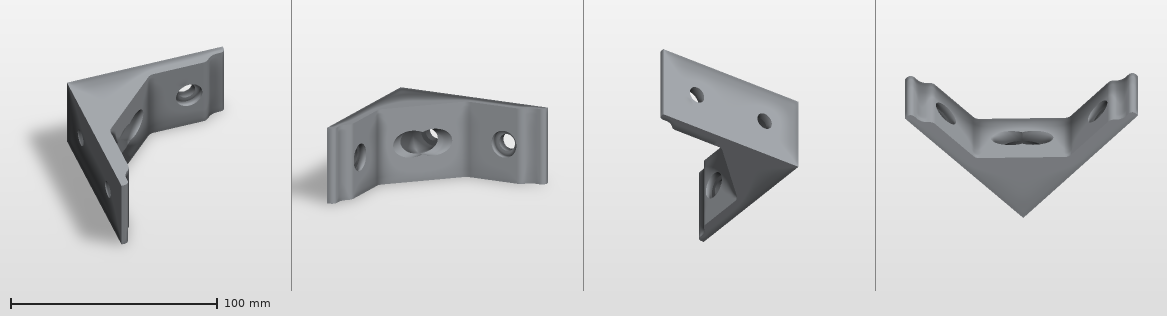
import cadquery as cq
import math

LEG_LENGTH = 80.0
WIDTH = 38.0
LEG_THICKNESS = 8.0

GUSSET_REACH = 39.8
GUSSET_FILLET = 4.0

SHOULDER_START = 67.2
SHOULDER_RADIUS = 4.0
COVE_RADIUS = 6.76
TIP_THICKNESS = LEG_THICKNESS / 2
TIP_RADIUS = 2.5

HOLE_DIAMETER = 8.5
HEAD_DIAMETER = 13.5
HEAD_SEAT_DEPTH = 4.5
HOLE_POSITIONS = (LEG_LENGTH / 4, 3 * LEG_LENGTH / 4)


def on_circle(center, radius, degrees):
    """Point on a circle at an angle measured from +X."""
    angle = math.radians(degrees)
    return (center[0] + radius * math.cos(angle), center[1] + radius * math.sin(angle))


def leg_half():
    """Half of the L section: the leg along X, cut off at the 45 degree mirror plane."""
    shoulder_center = (SHOULDER_START, LEG_THICKNESS - SHOULDER_RADIUS)
    slope_top = on_circle(shoulder_center, SHOULDER_RADIUS, 45)
    cove_y = TIP_THICKNESS + COVE_RADIUS
    cove_x = sum(slope_top) + math.sqrt(2) * COVE_RADIUS - cove_y
    cove_center = (cove_x, cove_y)
    tip_center = (LEG_LENGTH - TIP_RADIUS, TIP_THICKNESS - TIP_RADIUS)
    gusset_middle = (GUSSET_REACH + LEG_THICKNESS) / 2

    half = (
        cq.Workplane("XY")
        .moveTo(0, 0)
        .lineTo(LEG_LENGTH, 0)
        .lineTo(LEG_LENGTH, tip_center[1])
        .threePointArc(on_circle(tip_center, TIP_RADIUS, 45), (tip_center[0], TIP_THICKNESS))
        .lineTo(cove_x, TIP_THICKNESS)
        .threePointArc(
            on_circle(cove_center, COVE_RADIUS, 247.5),
            on_circle(cove_center, COVE_RADIUS, 225),
        )
        .lineTo(*slope_top)
        .threePointArc(
            on_circle(shoulder_center, SHOULDER_RADIUS, 67.5),
            (SHOULDER_START, LEG_THICKNESS),
        )
        .lineTo(GUSSET_REACH, LEG_THICKNESS)
        .lineTo(gusset_middle, gusset_middle)
        .close()
        .extrude(WIDTH)
    )
    corner = cq.selectors.NearestToPointSelector((GUSSET_REACH, LEG_THICKNESS, WIDTH / 2))
    return half.edges("|Z").edges(corner).fillet(GUSSET_FILLET)


def bracket_body():
    half = leg_half()
    other_half = half.rotate((0, 0, 0), (1, 1, 0), 180).translate((0, 0, WIDTH))
    return half.union(other_half).clean()


def screw_holes():
    """Stepped holes square to each outer face, widened on the inner side for the screw heads."""
    holes = cq.Workplane("XY")
    middle = WIDTH / 2
    for position in HOLE_POSITIONS:
        for radius, start in ((HOLE_DIAMETER / 2, 0), (HEAD_DIAMETER / 2, HEAD_SEAT_DEPTH)):
            along_y = cq.Solid.makeCylinder(
                radius, LEG_LENGTH, cq.Vector(position, start, middle), cq.Vector(0, 1, 0)
            )
            along_x = cq.Solid.makeCylinder(
                radius, LEG_LENGTH, cq.Vector(start, position, middle), cq.Vector(1, 0, 0)
            )
            holes = holes.add(along_y).add(along_x)
    return holes.combine()


result = bracket_body().cut(screw_holes())